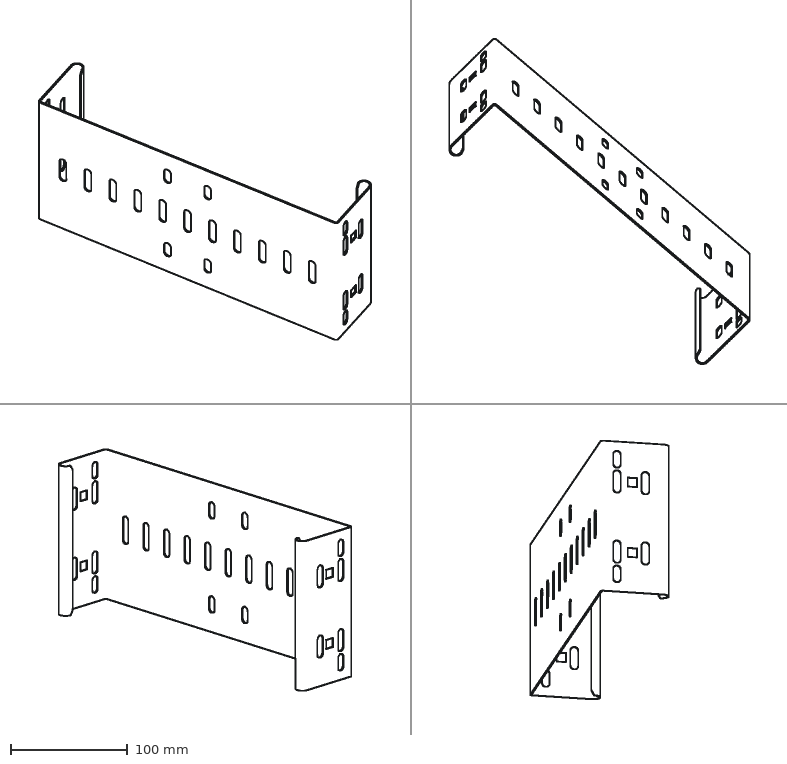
import cadquery as cq

LENGTH = 300.0
DEPTH = 60.5
HEIGHT = 135.0
THICKNESS = 1.3

CORNER_RADIUS = 2.5
HOOK_RADIUS = 6.0
HOOK_TAIL = 3.0
TAIL_CHAMFER_HEIGHT = 4.5
TAIL_CHAMFER_DEPTH = 2.7

HALF_LENGTH = LENGTH / 2
CURL_Y = DEPTH - HOOK_RADIUS
TAIL_Y = CURL_Y - HOOK_TAIL
TAIL_X = HALF_LENGTH - 2 * HOOK_RADIUS

BASE_SLOT_WIDTH = 7.0
LONG_SLOT_LENGTH = 25.0
LONG_SLOT_COUNT = 11
LONG_ROW_SPAN = 250.0
SHORT_SLOT_LENGTH = 15.0
SHORT_SLOT_SPACING_X = 40.2
SHORT_SLOT_SPACING_Z = 85.0

GROUP_SPACING_Z = 63.3
WALL_SLOT_LENGTH = 20.0
HOOK_SLOT_Y = 39.0
HOOK_SLOT_WIDTH = 7.0
BASE_SIDE_SLOT_Y = 14.0
BASE_SIDE_SLOT_WIDTH = 6.5
SQUARE_Y = 27.5
SQUARE_SIDE = 8.0
END_SLOT_LENGTH = 15.0
END_SLOT_SPACING_Z = 103.2


def make_channel():
    """Flat base with two side walls, each curled inward at its free edge."""
    curl_x = HALF_LENGTH - HOOK_RADIUS
    inner_crown_y = DEPTH - THICKNESS
    wall_x = HALF_LENGTH - THICKNESS
    tail_wall_side_x = TAIL_X + THICKNESS
    profile = (
        cq.Workplane("XY")
        .moveTo(-HALF_LENGTH, 0)
        .lineTo(HALF_LENGTH, 0)
        .lineTo(HALF_LENGTH, CURL_Y)
        .threePointArc((curl_x, DEPTH), (TAIL_X, CURL_Y))
        .lineTo(TAIL_X, TAIL_Y)
        .lineTo(tail_wall_side_x, TAIL_Y)
        .lineTo(tail_wall_side_x, CURL_Y)
        .threePointArc((curl_x, inner_crown_y), (wall_x, CURL_Y))
        .lineTo(wall_x, THICKNESS)
        .lineTo(-wall_x, THICKNESS)
        .lineTo(-wall_x, CURL_Y)
        .threePointArc((-curl_x, inner_crown_y), (-tail_wall_side_x, CURL_Y))
        .lineTo(-tail_wall_side_x, TAIL_Y)
        .lineTo(-TAIL_X, TAIL_Y)
        .lineTo(-TAIL_X, CURL_Y)
        .threePointArc((-curl_x, DEPTH), (-HALF_LENGTH, CURL_Y))
        .close()
    )
    channel = profile.extrude(HEIGHT / 2, both=True)

    outside_corners = cq.selectors.BoxSelector(
        (-LENGTH, -THICKNESS / 2, -HEIGHT), (LENGTH, THICKNESS / 2, HEIGHT)
    )
    inside_corners = cq.selectors.BoxSelector(
        (-LENGTH, THICKNESS / 2, -HEIGHT), (LENGTH, THICKNESS * 3 / 2, HEIGHT)
    )
    channel = channel.edges("|Z").edges(inside_corners).fillet(CORNER_RADIUS - THICKNESS)
    return channel.edges("|Z").edges(outside_corners).fillet(CORNER_RADIUS)


def cut_tail_corners(body):
    """Sloped corners at the top and bottom of the free edge of each hook."""
    for end_z in (-1, 1):
        corner_z = end_z * HEIGHT / 2
        wedge = (
            cq.Workplane("YZ")
            .polyline([
                (TAIL_Y, corner_z),
                (TAIL_Y + TAIL_CHAMFER_DEPTH, corner_z),
                (TAIL_Y, corner_z - end_z * TAIL_CHAMFER_HEIGHT),
            ])
            .close()
            .extrude(TAIL_X + THICKNESS, both=True)
        )
        body = body.cut(wedge)
    return body


def slot_cutter(plane, centres, length, width):
    """Upright slots through the part; the second plane coordinate is Z."""
    return (
        cq.Workplane(plane)
        .pushPoints(centres)
        .slot2D(length, width, angle=90)
        .extrude(LENGTH, both=True)
    )


def cut_base_slots(body):
    """Row of long slots along the middle and four short slots around it."""
    pitch = LONG_ROW_SPAN / (LONG_SLOT_COUNT - 1)
    row = [(i * pitch - LONG_ROW_SPAN / 2, 0) for i in range(LONG_SLOT_COUNT)]
    corners = [
        (side_x * SHORT_SLOT_SPACING_X / 2, side_z * SHORT_SLOT_SPACING_Z / 2)
        for side_x in (-1, 1)
        for side_z in (-1, 1)
    ]
    body = body.cut(slot_cutter("XZ", row, LONG_SLOT_LENGTH, BASE_SLOT_WIDTH))
    return body.cut(slot_cutter("XZ", corners, SHORT_SLOT_LENGTH, BASE_SLOT_WIDTH))


def mirrored_pair(y, spacing):
    """Centres at one Y, placed symmetrically above and below mid height."""
    return [(y, -spacing / 2), (y, spacing / 2)]


def cut_wall_openings(body):
    """Matching slots and square holes through both side walls."""
    hook_side = mirrored_pair(HOOK_SLOT_Y, GROUP_SPACING_Z)
    base_side = mirrored_pair(BASE_SIDE_SLOT_Y, GROUP_SPACING_Z)
    ends = mirrored_pair(BASE_SIDE_SLOT_Y, END_SLOT_SPACING_Z)
    squares = (
        cq.Workplane("YZ")
        .pushPoints(mirrored_pair(SQUARE_Y, GROUP_SPACING_Z))
        .rect(SQUARE_SIDE, SQUARE_SIDE)
        .extrude(LENGTH, both=True)
    )
    body = body.cut(slot_cutter("YZ", hook_side, WALL_SLOT_LENGTH, HOOK_SLOT_WIDTH))
    body = body.cut(slot_cutter("YZ", base_side, WALL_SLOT_LENGTH, BASE_SIDE_SLOT_WIDTH))
    body = body.cut(slot_cutter("YZ", ends, END_SLOT_LENGTH, BASE_SIDE_SLOT_WIDTH))
    return body.cut(squares)


channel = cut_tail_corners(make_channel())
result = cut_wall_openings(cut_base_slots(channel))